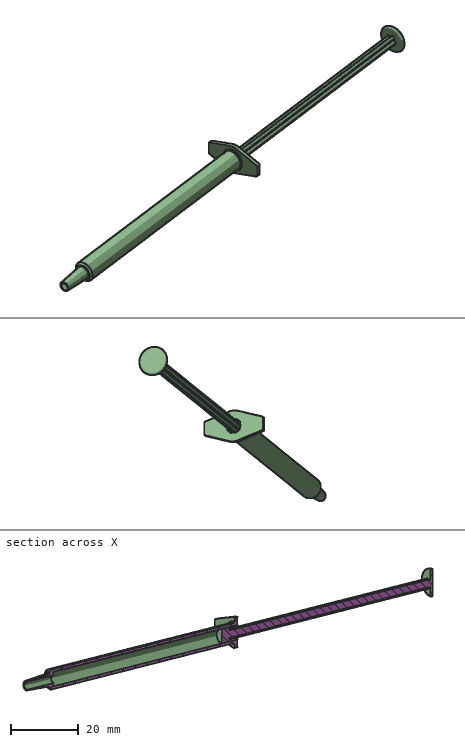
import cadquery as cq
import math

overall_length = 155.0
syringe_axis = ((0, 0, 0), (0, 1, 0))

nozzle_length = 8.7
nozzle_tip_diameter = 3.1
nozzle_base_diameter = 4.2
nozzle_hole_diameter = 2.3
barrel_diameter = 6.4
barrel_chamfer = 0.6
bore_diameter = 4.3
bore_floor = 1.5
root_flare = 0.39

flange_front = 79.2
flange_thickness = 1.2
flange_width = 18.3
flange_height = 9.5
flange_end_height = 4.0
flange_corner_rounding = 0.5

rib_span = 3.3
rib_thickness = 1.1
rib_tilt = 26.0
piston_length = 3.1
piston_inset = 3.1
disc_diameter = 8.7
disc_thickness = 1.1

flange_back = flange_front + flange_thickness
bore_start = nozzle_length + bore_floor
disc_front = overall_length - disc_thickness
piston_back = flange_back - piston_inset
piston_front = piston_back - piston_length


def section_at(y):
    """Workplane across the syringe axis at this Y, with its width along X, extruding towards +Y."""
    return cq.Workplane(cq.Plane(origin=(0, y, 0), xDir=(1, 0, 0), normal=(0, 1, 0)))


def cylinder(diameter, start, end):
    """Round bar on the syringe axis between two Y positions."""
    return section_at(start).circle(diameter / 2).extrude(end - start)


def make_flange():
    """Plate with a round middle and straight sides that run tangent from it to the narrower ends."""
    middle_radius = flange_height / 2
    half_width = flange_width / 2
    half_end = flange_end_height / 2
    corner_distance = math.hypot(half_width, half_end)
    tangent_angle = math.atan2(half_end, half_width) + math.acos(middle_radius / corner_distance)
    tangent_x = middle_radius * math.cos(tangent_angle)
    tangent_z = middle_radius * math.sin(tangent_angle)
    return (
        section_at(flange_front)
        .moveTo(half_width, -half_end)
        .lineTo(half_width, half_end)
        .lineTo(tangent_x, tangent_z)
        .threePointArc((0, middle_radius), (-tangent_x, tangent_z))
        .lineTo(-half_width, half_end)
        .lineTo(-half_width, -half_end)
        .lineTo(-tangent_x, -tangent_z)
        .threePointArc((0, -middle_radius), (tangent_x, -tangent_z))
        .close()
        .extrude(flange_thickness)
        .edges("|Y and (<X or >X)")
        .fillet(flange_corner_rounding)
    )


def make_barrel():
    """Tapered nozzle, tube flared into the finger flange, and a bore open at the flange."""
    barrel_radius = barrel_diameter / 2
    flare_radius = barrel_radius + root_flare
    tube = (
        cq.Workplane("XY")
        .moveTo(0, 0)
        .lineTo(nozzle_tip_diameter / 2, 0)
        .lineTo(nozzle_base_diameter / 2, nozzle_length)
        .lineTo(barrel_radius - barrel_chamfer, nozzle_length)
        .lineTo(barrel_radius, nozzle_length + barrel_chamfer)
        .lineTo(barrel_radius, flange_front - root_flare)
        .lineTo(flare_radius, flange_front)
        .lineTo(flare_radius, flange_back)
        .lineTo(0, flange_back)
        .close()
        .revolve(360, *syringe_axis)
    )
    bore = cylinder(bore_diameter, bore_start, flange_back)
    nozzle_hole = cylinder(nozzle_hole_diameter, 0, bore_start)
    return tube.union(make_flange()).cut(bore).cut(nozzle_hole)


def make_thumb_disc():
    """Disc with a fully rounded rim."""
    disc_radius = disc_diameter / 2
    rim_radius = disc_thickness / 2
    face_radius = disc_radius - rim_radius
    return (
        cq.Workplane("XY")
        .moveTo(0, disc_front)
        .lineTo(face_radius, disc_front)
        .threePointArc((disc_radius, disc_front + rim_radius), (face_radius, overall_length))
        .lineTo(0, overall_length)
        .close()
        .revolve(360, *syringe_axis)
    )


def make_plunger():
    """Piston, cross-ribbed rod and thumb disc."""
    piston = cylinder(bore_diameter, piston_front, piston_back)
    rod_length = disc_front - piston_back
    rib = section_at(piston_back).rect(rib_span, rib_thickness).extrude(rod_length)
    first_rib = rib.rotate(*syringe_axis, rib_tilt)
    crossing_rib = rib.rotate(*syringe_axis, rib_tilt + 90)
    return piston.union(first_rib).union(crossing_rib).union(make_thumb_disc())


barrel = make_barrel()
plunger = make_plunger()
result = cq.Compound.makeCompound([barrel.solids().val(), plunger.solids().val()])